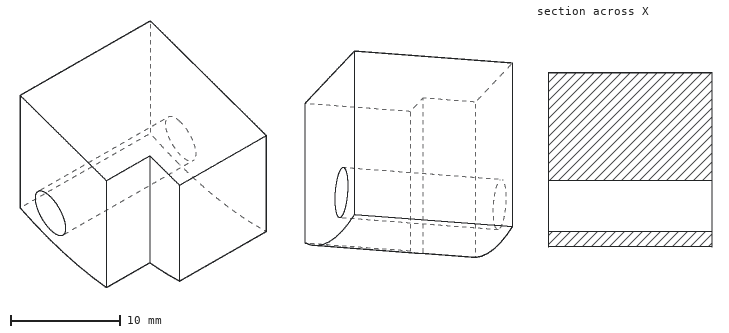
import cadquery as cq

length = 17.59
depth = 15.0
height = 15.97

underside_radius = 33.42

hole_diameter = 4.6
hole_x = 4.6
hole_z = 3.75

notch_length = 4.5
notch_depth = 5.0


def make_block():
    """Rectangular block with one corner at the origin."""
    return cq.Workplane("XY").box(length, depth, height, centered=False)


def make_cylinder(x, z, radius):
    """Cylinder along Y, spanning the depth of the block."""
    return cq.Workplane("XZ", origin=(x, 0, z)).circle(radius).extrude(-depth)


def make_notch():
    """Corner material removed over the full height."""
    return (
        cq.Workplane("XY")
        .box(notch_length, notch_depth, height, centered=False)
        .translate((length - notch_length, 0, 0))
    )


underside = make_cylinder(hole_x, underside_radius, underside_radius)
hole = make_cylinder(hole_x, hole_z, hole_diameter / 2)

result = make_block().intersect(underside).cut(make_notch()).cut(hole)